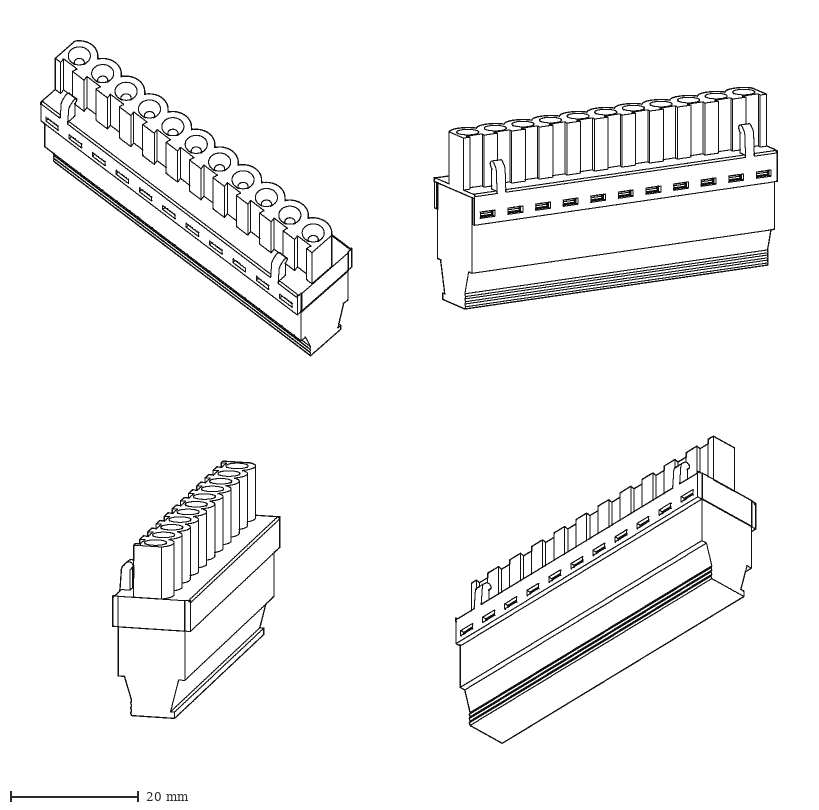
import cadquery as cq
import math


pole_count = 11
total_length = 55
tongue_length = 0.1
body_length = total_length - tongue_length
pitch = total_length / pole_count
first_pole = (body_length - (pole_count - 1) * pitch) / 2
pole_places = [first_pole + i * pitch for i in range(pole_count)]

total_height = 27.6
plate_top = 19.2
plate_bottom = 18.55
skirt_bottom = 14.25
shoulder_height = 6.25
foot_height = 1.05

plate_depth = 12.6
plate_front = -plate_depth / 2
body_half_depth = 5.4
taper_top_half_depth = 4.4
taper_bottom_back = 3.1
taper_bottom_front = -3.25
foot_back = 3.75

ridge_count = 3
ridge_pitch = 0.8
ridge_height = 0.15

cover_chamfer = 0.35
chamfer_end_gap = 0.1
end_setback = 0.05
seam_width = 0.15
seam_depth = 0.2

socket_radius = 2.95
socket_axis = -0.05
socket_front = -2.9
funnel_top_diameter = 3.45
funnel_bottom_diameter = 1.6
funnel_depth = 1.8
notch_mouth = 2.55
notch_floor = 2.85
notch_depth = 0.8

window_width = 2.65
window_height = 1.0
window_middle = 15.75
window_ledge = 0.15
window_opening_depth = 0.65
window_floor_depth = 0.8
window_well_depth = 1.15

hook_width = 1.6
hook_top = 23.75
hook_tip_radius = 0.65
hook_tip_middle = -4.75
hook_neck_back = -4.55
hook_neck_height = 22.45
hook_back_angle = 55
hook_heel = (-6.2, 19.35)
hook_bend_start = (-6.0, 22.5)
hook_bend_middle = (-5.9, 22.8)
hook_bend_end = (-5.7, 23.1)


def box(x_range, y_range, z_range):
    """Block between the given pairs of limits."""
    size = [high - low for low, high in (x_range, y_range, z_range)]
    corner = (x_range[0], y_range[0], z_range[0])
    return cq.Workplane("XY").box(*size, centered=False).translate(corner)


def make_body():
    """Housing below the cover: straight upper part, tapered lower part with a foot and grip ridges."""
    ridge_points = []
    for i in range(ridge_count):
        root_height = (ridge_count - i) * ridge_pitch
        ridge_points.append((taper_bottom_front, root_height))
        ridge_points.append((taper_bottom_front - ridge_height, root_height - ridge_pitch / 2))
    profile = [
        (-body_half_depth, plate_bottom),
        (-body_half_depth, shoulder_height),
        (-taper_top_half_depth, shoulder_height),
        *ridge_points,
        (taper_bottom_front, 0),
        (foot_back, 0),
        (foot_back, foot_height),
        (taper_bottom_back, foot_height),
        (taper_top_half_depth, shoulder_height),
        (body_half_depth, shoulder_height),
        (body_half_depth, plate_bottom),
    ]
    length = body_length - end_setback
    return cq.Workplane("YZ", origin=(end_setback, 0, 0)).polyline(profile).close().extrude(length)


def make_cover():
    """Plate with two skirts, a seam beside each skirt on the left end and a tongue on the right end."""
    cover = box((0, body_length), (plate_front, -plate_front), (plate_bottom, plate_top))
    for side in (-1, 1):
        outer = side * plate_depth / 2
        inner = side * body_half_depth
        skirt_depths = sorted((inner, outer))
        cover = cover.union(box((end_setback, body_length), skirt_depths, (skirt_bottom, plate_bottom)))
        seam_depths = sorted((inner, inner + side * seam_width))
        cover = cover.cut(box((0, seam_depth), seam_depths, (skirt_bottom, plate_bottom)))
        bevel = (
            cq.Workplane("YZ", origin=(chamfer_end_gap, 0, 0))
            .moveTo(outer, plate_top)
            .lineTo(outer - side * cover_chamfer, plate_top)
            .lineTo(outer, plate_top - cover_chamfer)
            .close()
            .extrude(body_length - 2 * chamfer_end_gap)
        )
        cover = cover.cut(bevel)
    tongue = box(
        (body_length, body_length + tongue_length),
        (-body_half_depth, body_half_depth),
        (skirt_bottom, plate_top),
    )
    return cover.union(tongue)


def make_sockets():
    """Row of merged socket towers, round at the back and flat with dovetail notches in front."""
    tower_height = total_height - plate_top
    base = cq.Workplane("XY", origin=(0, 0, plate_top))
    row = box((0, body_length), (socket_front, socket_axis), (plate_top, total_height))
    envelope = box((0, body_length), (socket_front, socket_axis + socket_radius), (plate_top, total_height))
    for x in pole_places:
        barrel = base.center(x, socket_axis).circle(socket_radius).extrude(tower_height)
        row = row.union(barrel.intersect(envelope))
    for x in pole_places:
        notch = base.polyline([
            (x - notch_mouth / 2, socket_front),
            (x + notch_mouth / 2, socket_front),
            (x + notch_floor / 2, socket_front + notch_depth),
            (x - notch_floor / 2, socket_front + notch_depth),
        ]).close().extrude(tower_height)
        funnel = cq.Workplane(cq.Solid.makeCone(
            funnel_bottom_diameter / 2,
            funnel_top_diameter / 2,
            funnel_depth,
            pnt=cq.Vector(x, 0, total_height - funnel_depth),
        ))
        row = row.cut(notch).cut(funnel)
    return row


def make_windows():
    """Recesses in the front skirt, one per pole: an opening with a narrower well whose floor bends deeper."""
    well_half_height = window_height / 2 - window_ledge
    well_width = window_width - 2 * window_ledge
    well_profile = [
        (plate_front, window_middle - well_half_height),
        (plate_front + window_floor_depth, window_middle - well_half_height),
        (plate_front + window_floor_depth, window_middle),
        (plate_front + window_well_depth, window_middle + well_half_height),
        (plate_front, window_middle + well_half_height),
    ]
    window = box(
        (-window_width / 2, window_width / 2),
        (plate_front, plate_front + window_opening_depth),
        (window_middle - window_height / 2, window_middle + window_height / 2),
    )
    well_plane = cq.Workplane("YZ", origin=(-well_width / 2, 0, 0))
    well = well_plane.polyline(well_profile).close().extrude(well_width)
    window = window.union(well)
    windows = cq.Workplane("XY")
    for x in pole_places:
        windows = windows.add(window.translate((x, 0, 0)))
    return windows.combine()


def make_hook(x_middle):
    """Latch finger rising from the front edge of the plate, with a rounded tip leaning back."""
    tip_height = hook_top - hook_tip_radius
    tip_rise = hook_tip_radius * math.sin(math.radians(hook_back_angle))
    tip_reach = hook_tip_radius * math.cos(math.radians(hook_back_angle))
    return (
        cq.Workplane("YZ", origin=(x_middle - hook_width / 2, 0, 0))
        .moveTo(plate_front, plate_top - cover_chamfer)
        .lineTo(*hook_heel)
        .lineTo(*hook_bend_start)
        .threePointArc(hook_bend_middle, hook_bend_end)
        .lineTo(hook_tip_middle - tip_reach, tip_height + tip_rise)
        .threePointArc(
            (hook_tip_middle + tip_reach, tip_height + tip_rise),
            (hook_tip_middle + hook_tip_radius, tip_height),
        )
        .lineTo(hook_neck_back, hook_neck_height)
        .lineTo(hook_neck_back, plate_bottom)
        .close()
        .extrude(hook_width)
    )


result = make_body().union(make_cover()).union(make_sockets()).cut(make_windows())
hook_offset = first_pole + pitch / 2
for hook_place in (hook_offset, body_length - hook_offset):
    result = result.union(make_hook(hook_place))